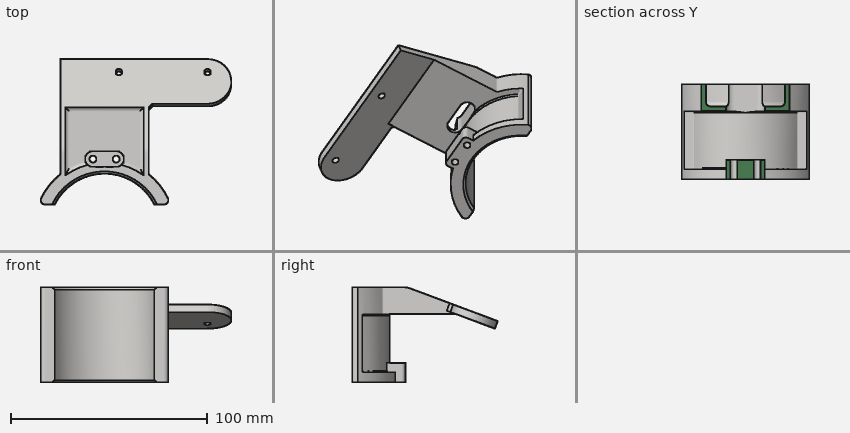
import cadquery as cq
import math

height = 48.5
axis_y = -12.6
inner_radius = 28.3
outer_radius = 36.0
half_width = 32.5
end_fillet = 2.3
bore_chamfer = 1.3

relief_radius = 31.8
relief_bottom = 5.2
relief_front = 5.2
relief_fillet = 0.8
relief_overrun = 1.9

box_half_width = 22.5
box_front = 12.6
box_bottom = 34.7
back_y = 74.2
right_x = 64.5
slope = math.radians(20.5)
bend_y = 28.0
bend_radius = 9.7
plate_thickness = 4.2
arm_width = 24.3
corner_chamfer = 1.9
corner_fillet = 1.0
select_margin = 0.1

pocket_half_width = 20.0
pocket_back = 49.5
pocket_floor = 37.3
pocket_front_radius = 34.0
pocket_fillet = 2.0
pocket_overrun = 1.0

lug_top = 10.0
lug_half_width = 9.9
lug_y = 23.2
lug_radius = 4.0
lug_corner_radius = 2.1
lug_hole_x = 5.9

hole_diameter = 3.4
arm_hole_x = 7.3
arm_hole_from_back = 7.1

arm_radius = arm_width / 2
arm_end_x = right_x - arm_radius
back_z = height - (back_y - bend_y) * math.tan(slope)
arm_plane = cq.Plane(
    origin=(0, back_y, back_z),
    xDir=(1, 0, 0),
    normal=(0, math.sin(slope), math.cos(slope)),
)


def block(x_min, x_max, y_min, y_max, z_min, z_max):
    """Axis-aligned block between the given limits."""
    size = (x_max - x_min, y_max - y_min, z_max - z_min)
    return cq.Workplane("XY").box(*size, centered=False).translate((x_min, y_min, z_min))


def cylinder(radius, z_min, z_max):
    """Solid cylinder on the saddle axis."""
    return cq.Workplane("XY", origin=(0, axis_y, z_min)).circle(radius).extrude(z_max - z_min)


def make_saddle():
    front_part = block(-half_width, half_width, 0, outer_radius, 0, height)
    saddle = cylinder(outer_radius, 0, height).intersect(front_part)

    saddle = saddle.edges("|Z and <Y").fillet(end_fillet)

    relief = cylinder(outer_radius + relief_overrun, relief_bottom, box_bottom)
    relief = relief.cut(cylinder(relief_radius, relief_bottom, box_bottom))
    relief = relief.intersect(
        block(-outer_radius, outer_radius, relief_front, outer_radius, relief_bottom, box_bottom)
    )
    relief = relief.edges().fillet(relief_fillet)
    return saddle.cut(relief)


def make_box():
    """Solid box with a sloped top, reaching into the saddle."""
    under_z = back_z - plate_thickness * math.cos(slope)
    under_y = back_y - plate_thickness * math.sin(slope)
    meet_y = under_y - (box_bottom - under_z) / math.tan(slope)
    profile = [
        (box_front, box_bottom),
        (meet_y, box_bottom),
        (under_y, under_z),
        (back_y, back_z),
        (bend_y, height),
        (box_front, height),
    ]
    box = cq.Workplane("YZ", origin=(-box_half_width, 0, 0)).polyline(profile).close()
    box = box.extrude(2 * box_half_width)
    bend = cq.selectors.NearestToPointSelector((0, bend_y, height))
    box = box.edges(bend).fillet(bend_radius)
    return box


def make_arm():
    return (
        cq.Workplane(arm_plane)
        .moveTo(-box_half_width, 0)
        .lineTo(arm_end_x, 0)
        .threePointArc((right_x, -arm_radius), (arm_end_x, -arm_width))
        .lineTo(box_half_width + corner_chamfer, -arm_width)
        .lineTo(box_half_width, -arm_width - corner_chamfer)
        .lineTo(-box_half_width, -arm_width - corner_chamfer)
        .close()
        .extrude(-plate_thickness)
    )


def make_pocket():
    pocket = block(
        -pocket_half_width, pocket_half_width, 0, pocket_back, pocket_floor, height + pocket_overrun
    )
    pocket = pocket.cut(cylinder(pocket_front_radius, pocket_floor, height + pocket_overrun))
    return pocket.faces("<Z").edges().fillet(pocket_fillet)


def make_lug():
    lug = block(-lug_half_width, lug_half_width, box_front, lug_y + lug_radius, 0, lug_top)
    return lug.edges("|Z and >Y").fillet(lug_corner_radius)


def make_bore():
    bore = cylinder(inner_radius, 0, height)
    for z, tip in ((0, bore_chamfer), (height, -bore_chamfer)):
        rim = cq.Workplane("XY", origin=(0, axis_y, z)).circle(inner_radius + bore_chamfer)
        rim = rim.workplane(offset=tip).circle(inner_radius).loft()
        bore = bore.union(rim)
    return bore


result = make_saddle().union(make_box())
crease = cq.selectors.BoxSelector(
    (-box_half_width - select_margin, 0, box_bottom),
    (box_half_width + select_margin, bend_y - bend_radius, height),
)
result = result.edges("|Z").edges(crease).fillet(corner_fillet)
result = result.union(make_arm()).cut(make_pocket())

access = (
    cq.Workplane("XY", origin=(0, lug_y, lug_top))
    .slot2D(2 * lug_half_width, 2 * lug_radius)
    .extrude(height - lug_top)
)
result = result.cut(access).union(make_lug()).cut(make_bore())

lug_holes = (
    cq.Workplane("XY")
    .pushPoints([(-lug_hole_x, lug_y), (lug_hole_x, lug_y)])
    .circle(hole_diameter / 2)
    .extrude(lug_top)
)
arm_holes = (
    cq.Workplane(arm_plane)
    .pushPoints([(arm_hole_x, -arm_hole_from_back), (arm_end_x, -arm_hole_from_back)])
    .circle(hole_diameter / 2)
    .extrude(-plate_thickness)
)
result = result.cut(lug_holes).cut(arm_holes)